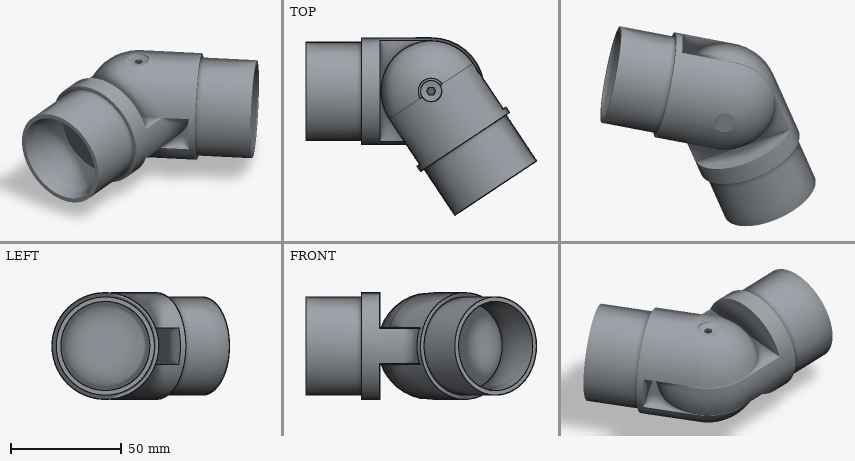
import cadquery as cq
import math

collar_radius = 24.17
spigot_radius = 22.2
bore_radius = 20.1
spigot_length = 25.1

tongue_thickness = 15.9
tongue_root = 23.2
tongue_shoulder = 31.6
tongue_bore_depth = 26.4

fork_angle = -56.4
slot_height = 16.5
slot_end = 24.7
fork_shoulder = 27.7
fork_bore_depth = 25.1

pin_radius = 4.8
pin_half_length = 23.4
dish_depth = 0.8
socket_corner_diameter = 4.0
socket_depth = 3.1
seat_radius = 5.8
seat_height = math.sqrt(collar_radius**2 - seat_radius**2)


def rod(radius, start, end):
    """Cylinder along X from start to end."""
    return cq.Workplane("YZ").workplane(offset=start).circle(radius).extrude(end - start)


def domed_tube(shoulder, bore_depth):
    """Ball-ended body along +X with a bored spigot beyond its shoulder."""
    spigot_end = shoulder + spigot_length
    ball = cq.Workplane("XY").sphere(collar_radius)
    body = ball.union(rod(collar_radius, 0, shoulder))
    body = body.union(rod(spigot_radius, shoulder, spigot_end))
    return body.cut(rod(bore_radius, spigot_end - bore_depth, spigot_end))


def pivot_rod(radius, bottom, top):
    """Cylinder along the Z pivot axis."""
    return cq.Workplane("XY").workplane(offset=bottom).circle(radius).extrude(top - bottom)


def box_between(x_start, x_end, z_start, z_end):
    """Box wider than the collar, between the given X and Z limits."""
    width = 3 * collar_radius
    corner_x_z = (False, True, False)
    block = cq.Workplane("XY").box(x_end - x_start, width, z_end - z_start, centered=corner_x_z)
    return block.translate((x_start, 0, z_start))


pin_hole = pivot_rod(pin_radius, -collar_radius, collar_radius)


def make_tongue_half():
    """Tubular half whose domed tongue enters the fork."""
    body = domed_tube(tongue_shoulder, tongue_bore_depth)
    half_thickness = tongue_thickness / 2
    above = box_between(-collar_radius, tongue_root, half_thickness, collar_radius)
    below = box_between(-collar_radius, tongue_root, -collar_radius, -half_thickness)
    body = body.cut(above).cut(below).cut(pin_hole)
    return body.rotate((0, 0, 0), (0, 0, 1), 180)


def make_fork_half():
    """Tubular half with two domed cheeks either side of a through slot."""
    body = domed_tube(fork_shoulder, fork_bore_depth)
    slot = box_between(-collar_radius, slot_end, -slot_height / 2, slot_height / 2)
    dome_side = box_between(-collar_radius, 0, seat_height, collar_radius)
    seat = pivot_rod(seat_radius, seat_height, collar_radius).intersect(dome_side)
    body = body.cut(slot).cut(pin_hole).cut(seat)
    return body.rotate((0, 0, 0), (0, 0, 1), fork_angle)


def make_pin():
    """Pivot pin with a dished head and a hexagonal socket."""
    pin = pivot_rod(pin_radius, -pin_half_length, pin_half_length)
    dish = cq.Workplane("XY").add(
        cq.Solid.makeCone(
            0, pin_radius, dish_depth, pnt=cq.Vector(0, 0, pin_half_length - dish_depth)
        )
    )
    socket = (
        cq.Workplane("XY")
        .workplane(offset=pin_half_length - dish_depth - socket_depth)
        .polygon(6, socket_corner_diameter)
        .extrude(dish_depth + socket_depth)
    )
    return pin.cut(dish).cut(socket)


tongue_half = make_tongue_half()
fork_half = make_fork_half()
pin = make_pin()

result = cq.Compound.makeCompound([tongue_half.val(), fork_half.val(), pin.val()])